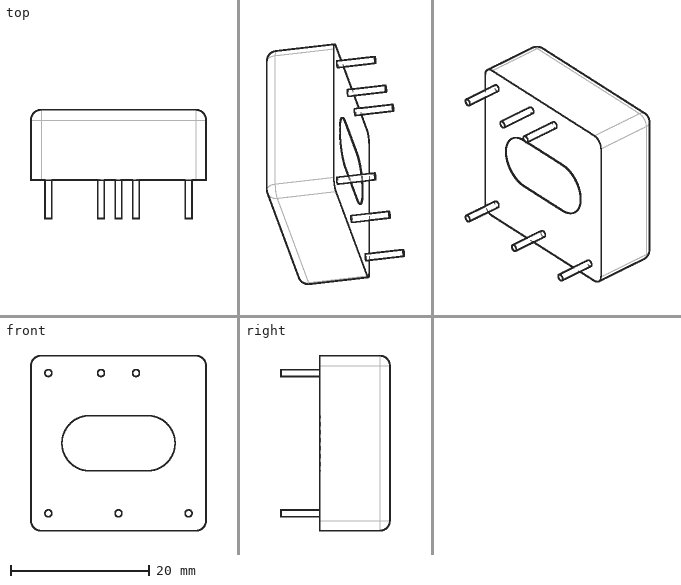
import cadquery as cq

body_side = 25.4
body_depth = 10.2
edge_radius = 1.5

grid = 2.54
pin_diameter = 1.0
pin_length = 5.6
pin_row_z = 4 * grid
top_row_x = (-4 * grid, -grid, grid)
bottom_row_x = (-4 * grid, 0, 4 * grid)

recess_length = 16.4
recess_width = 8.0
recess_depth = 0.1


def mounting_plane():
    """XZ plane at y = 0; its normal points toward -Y."""
    return cq.Workplane("XZ")


def make_body():
    block = mounting_plane().rect(body_side, body_side).extrude(-body_depth)
    return block.edges("|Y").fillet(edge_radius).faces(">Y").edges().fillet(edge_radius)


def make_recess():
    return mounting_plane().slot2D(recess_length, recess_width).extrude(-recess_depth)


def make_pins():
    positions = [(x, pin_row_z) for x in top_row_x]
    positions += [(x, -pin_row_z) for x in bottom_row_x]
    return mounting_plane().pushPoints(positions).circle(pin_diameter / 2).extrude(pin_length)


result = make_body().cut(make_recess()).union(make_pins())